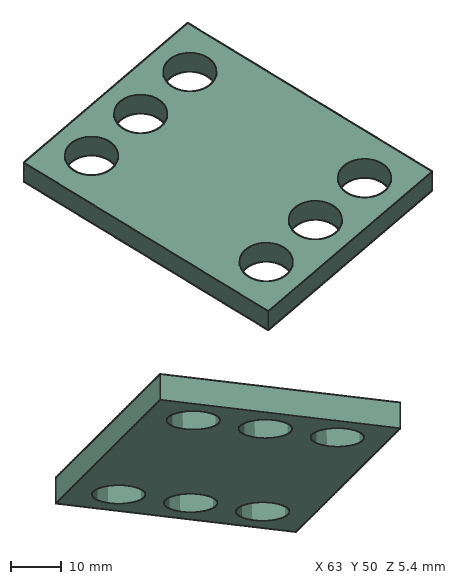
import cadquery as cq

length = 63.0
width = 50.0
thickness = 5.4

hole_diameter = 10.5
column_spacing = 45.0
row_pitch = 15.0
columns = 2
rows = 3

plate = cq.Workplane("XY").box(length, width, thickness)

result = (
    plate.faces(">Z")
    .workplane()
    .rarray(column_spacing, row_pitch, columns, rows)
    .hole(hole_diameter)
)